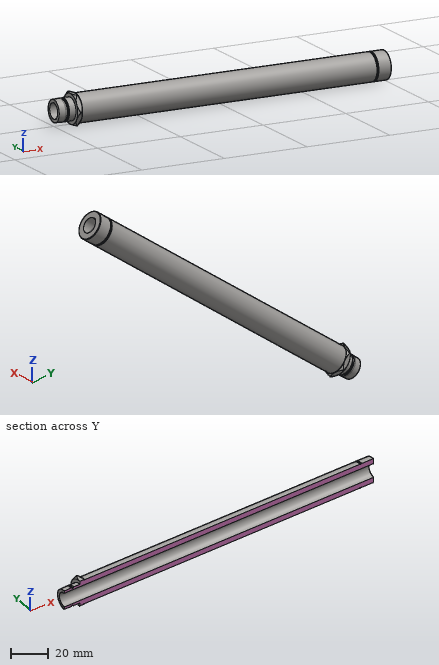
import cadquery as cq
import math

total_length = 200.0
nipple_length = 10.0
hex_width = 3.0

nipple_diameter = 13.0
tube_diameter = 16.5
bore_diameter = 9.0
hex_across_flats = 17.0
hex_across_corners = hex_across_flats / math.cos(math.radians(30))

tube_end_chamfer = 0.3

tip_length = 4.0
tip_relief = 0.15

nipple_groove_position = 5.5
nipple_groove_width = 1.2
nipple_groove_floor_width = 0.6
nipple_groove_depth = 0.6

tube_groove_position = 191.7
tube_groove_width = 1.2
tube_groove_floor_width = 0.6
tube_groove_depth = 0.2

start_x = -total_length / 2
hex_start_x = start_x + nipple_length
tube_start_x = hex_start_x + hex_width
end_x = total_length / 2


def revolve_profile(points):
    """Revolve a closed outline of (x, radius) points about the X axis."""
    return cq.Workplane("XY").polyline(points).close().revolve(360, (0, 0), (1, 0))


def groove_points(centre_x, radius, width, floor_width, depth):
    """Outline points of a sloped-wall groove, in order of increasing X."""
    return [
        (centre_x - width / 2, radius),
        (centre_x - floor_width / 2, radius - depth),
        (centre_x + floor_width / 2, radius - depth),
        (centre_x + width / 2, radius),
    ]


def make_nipple():
    """Connecting nipple with a tapered tip and a tapered groove around it."""
    radius = nipple_diameter / 2
    groove_x = start_x + nipple_groove_position
    return revolve_profile([
        (start_x, 0),
        (start_x, radius - tip_relief),
        (start_x + tip_length, radius),
        *groove_points(groove_x, radius, nipple_groove_width, nipple_groove_floor_width, nipple_groove_depth),
        (hex_start_x, radius),
        (hex_start_x, 0),
    ])


def make_hex_collar():
    """Spanner hexagon with corners along Y and both faces bevelled at 45 degrees."""
    prism = (
        cq.Workplane("YZ", origin=(hex_start_x, 0, 0))
        .polygon(6, hex_across_corners)
        .extrude(hex_width)
    )
    face_radius = hex_across_flats / 2
    middle_radius = face_radius + hex_width / 2
    double_cone = revolve_profile([
        (hex_start_x, 0),
        (hex_start_x, face_radius),
        (hex_start_x + hex_width / 2, middle_radius),
        (tube_start_x, face_radius),
        (tube_start_x, 0),
    ])
    return prism.intersect(double_cone)


def make_tube():
    """Long tube with a shallow groove near its bevelled far end."""
    radius = tube_diameter / 2
    groove_x = start_x + tube_groove_position
    return revolve_profile([
        (tube_start_x, 0),
        (tube_start_x, radius),
        *groove_points(groove_x, radius, tube_groove_width, tube_groove_floor_width, tube_groove_depth),
        (end_x - tube_end_chamfer, radius),
        (end_x, radius - tube_end_chamfer),
        (end_x, 0),
    ])


def make_bore():
    """Straight passage through the whole part."""
    return (
        cq.Workplane("YZ", origin=(start_x, 0, 0))
        .circle(bore_diameter / 2)
        .extrude(total_length)
    )


result = make_nipple().union(make_hex_collar()).union(make_tube()).cut(make_bore())